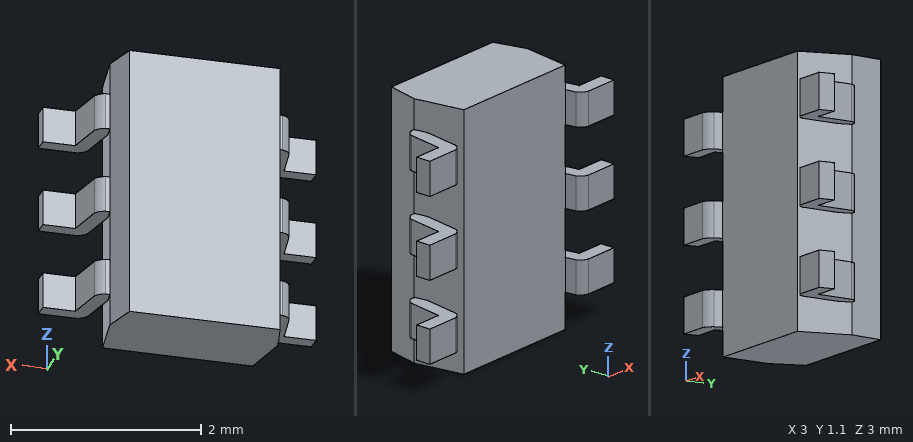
import cadquery as cq
import math

span = 3.0
body_height = 3.0
total_depth = 1.1

body_depth = 1.0
face_half_width = 0.825
parting_half_width = 0.925
parting_from_back = 0.4

lead_width = 0.4
lead_pitch = 0.95
leads_per_side = 3
lead_thickness = 0.18
foot_length = 0.355
shank_lean = 10.0
bend_radius = 0.15
bend_setback = 0.085

foot_bottom_y = -total_depth / 2
foot_top_y = foot_bottom_y + lead_thickness
body_back_y = total_depth / 2
body_front_y = body_back_y - body_depth
parting_y = body_back_y - parting_from_back


def make_body():
    """Plastic housing, extruded along Z."""
    return (
        cq.Workplane("XY")
        .moveTo(-face_half_width, body_front_y)
        .lineTo(face_half_width, body_front_y)
        .lineTo(parting_half_width, parting_y)
        .lineTo(face_half_width, body_back_y)
        .lineTo(-face_half_width, body_back_y)
        .lineTo(-parting_half_width, parting_y)
        .close()
        .extrude(body_height / 2, both=True)
    )


def make_left_lead(housing):
    """Left lead centred on Z = 0, trimmed to lie against the housing flank."""
    toe_x = -span / 2
    lean = math.radians(shank_lean)
    inner_corner_x = toe_x + foot_length
    heel_x = inner_corner_x + lead_thickness * math.tan((math.pi / 2 - lean) / 2)
    shoulder_x = inner_corner_x + (parting_y - foot_top_y) * math.tan(lean)
    shank_end_x = heel_x + (parting_y - foot_bottom_y) * math.tan(lean)

    heel_start = (heel_x - bend_setback, foot_bottom_y)
    heel_end = (
        heel_x + bend_setback * math.sin(lean),
        foot_bottom_y + bend_setback * math.cos(lean),
    )
    shoulder_start = (
        shoulder_x - bend_setback * math.sin(lean),
        parting_y - bend_setback * math.cos(lean),
    )
    shoulder_end = (shoulder_x + bend_setback, parting_y)

    blank = (
        cq.Workplane("XY")
        .moveTo(toe_x, foot_bottom_y)
        .lineTo(*heel_start)
        .radiusArc(heel_end, -bend_radius)
        .lineTo(shank_end_x, parting_y)
        .lineTo(*shoulder_end)
        .radiusArc(shoulder_start, -bend_radius)
        .lineTo(inner_corner_x, foot_top_y)
        .lineTo(toe_x, foot_top_y)
        .close()
        .extrude(lead_width / 2, both=True)
    )
    return blank.cut(housing)


body = make_body()
left_lead = make_left_lead(body)
right_lead = left_lead.mirror("YZ")

leads = []
for index in range(leads_per_side):
    lead_z = (index - (leads_per_side - 1) / 2) * lead_pitch
    for lead in (left_lead, right_lead):
        leads.append(lead.translate((0, 0, lead_z)).val())

lead_solids = [solid for lead in leads for solid in lead.Solids()]

result = cq.Compound.makeCompound([body.val(), *lead_solids])